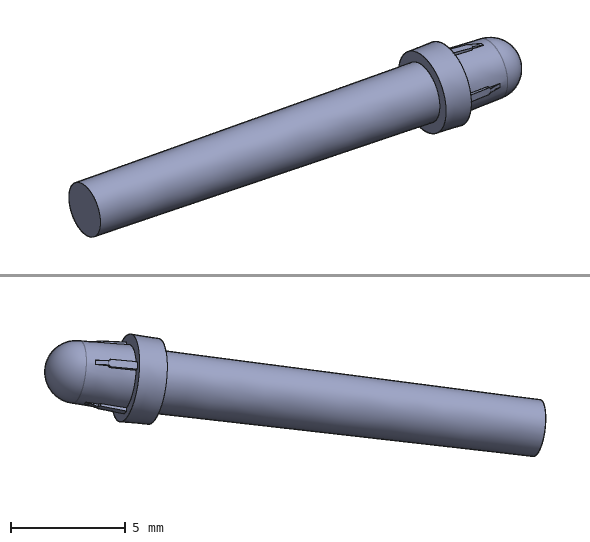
import cadquery as cq
import math

total_length = 22.71
collar_front_radius = 3.89 / 2
collar_back_radius = 1.90
collar_length = 1.30

dome_radius = 1.385
nose_length = 3.66
nose_base_radius = 1.475

shaft_root_radius = 1.40
shaft_end_radius = 1.26

rib_count = 4
ramp_width = 0.20
crest_width = 0.35
crest_corner = 0.10
ramp_start_setback = 1.80
crest_start_setback = 2.35
crest_start_radius = 1.53
crest_end_radius = 1.63

collar_front_y = total_length - nose_length
collar_back_y = collar_front_y - collar_length
dome_base_y = total_length - dome_radius
ramp_start_y = total_length - ramp_start_setback
crest_start_y = total_length - crest_start_setback


def nose_radius_at(y):
    """Radius of the tapered nose body at station y."""
    fraction = (dome_base_y - y) / (dome_base_y - collar_front_y)
    return dome_radius + fraction * (nose_base_radius - dome_radius)


def revolve_about_y(profile):
    """Close a half outline and spin it a full turn about the pin axis."""
    return profile.close().revolve(360, (0, 0, 0), (0, 1, 0))


def make_turned_body():
    """Shaft, collar and domed nose as one revolved outline."""
    dome_mid = dome_radius * math.cos(math.radians(45))
    outline = (
        cq.Workplane("ZY")
        .lineTo(shaft_end_radius, 0)
        .lineTo(shaft_root_radius, collar_back_y)
        .lineTo(collar_back_radius, collar_back_y)
        .lineTo(collar_front_radius, collar_front_y)
        .lineTo(nose_base_radius, collar_front_y)
        .lineTo(dome_radius, dome_base_y)
        .threePointArc((dome_mid, dome_base_y + dome_mid), (0, total_length))
    )
    return revolve_about_y(outline)


def make_ramp():
    """Narrow wedge rising from the nose surface to the crest, on the +Z side."""
    return (
        cq.Workplane("ZY")
        .moveTo(0, collar_front_y)
        .lineTo(crest_start_radius, collar_front_y)
        .lineTo(crest_start_radius, crest_start_y)
        .lineTo(nose_radius_at(ramp_start_y), ramp_start_y)
        .lineTo(0, ramp_start_y)
        .close()
        .extrude(ramp_width / 2, both=True)
    )


def make_crest():
    """Wider rib with a conical outer face and cut front corners, on the +Z side."""
    half_width = crest_width / 2
    bar = (
        cq.Workplane("XY")
        .moveTo(-half_width, collar_front_y)
        .lineTo(-half_width, crest_start_y - crest_corner)
        .lineTo(crest_corner - half_width, crest_start_y)
        .lineTo(half_width - crest_corner, crest_start_y)
        .lineTo(half_width, crest_start_y - crest_corner)
        .lineTo(half_width, collar_front_y)
        .close()
        .extrude(collar_front_radius)
    )
    cone = revolve_about_y(
        cq.Workplane("ZY")
        .moveTo(0, collar_front_y)
        .lineTo(crest_end_radius, collar_front_y)
        .lineTo(crest_start_radius, crest_start_y)
        .lineTo(0, crest_start_y)
    )
    return bar.intersect(cone)


rib = make_ramp().union(make_crest())
result = make_turned_body()
for index in range(rib_count):
    angle = index * 360 / rib_count
    result = result.union(rib.rotate((0, 0, 0), (0, 1, 0), angle))